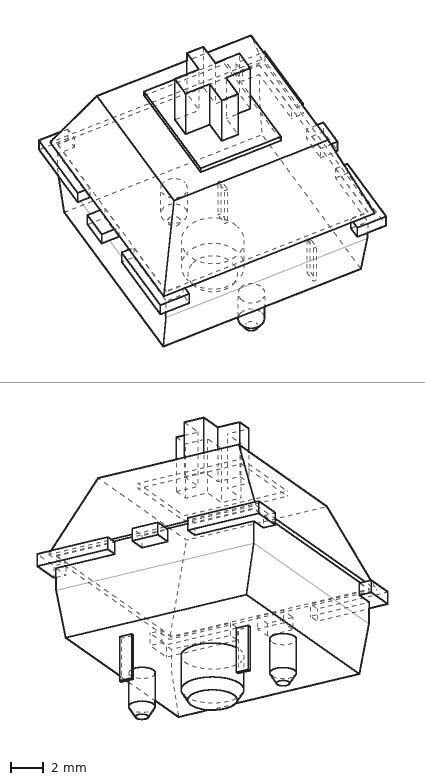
import cadquery as cq


tip_chamfer_top = 0.68
base_bottom = 2.95
base_taper_top = 6.21
tab_bottom = 7.68
tab_top = 8.5
cover_bottom = 8.55
cover_top = 13.89
plate_top = 14.23
stem_top = 17.85

base_bottom_size = (12.76, 13.69)
base_size = (13.95, 13.95)
cover_bottom_size = (14.62, 14.62)
cover_top_size = (9.92, 10.67)
plate_size = (7.28, 5.57)

stem_span = 4.48
stem_x_arm_width = 1.12
stem_y_arm_width = 1.4

corner_tab_span = 15.64
corner_tab_x_length = 5.0
corner_tab_y_length = 2.0
middle_tab_span = 16.33
middle_tab_width = 1.82

center_post_diameter = 3.84
side_post_diameter = 1.62
side_post_offset = 4.98
tip_inset = 0.41

lead_width = 0.84
lead_thickness = 0.21
lead_centers = [(-3.77, 2.73), (3.03, 5.21)]


def block(size, bottom, top, center=(0, 0)):
    """Upright rectangular block between two levels."""
    return cq.Workplane("XY", origin=(*center, bottom)).rect(*size).extrude(top - bottom)


def tapered_block(bottom_size, top_size, bottom, top):
    """Block whose rectangular section changes linearly between two levels."""
    lower = cq.Workplane("XY", origin=(0, 0, bottom)).rect(*bottom_size)
    return lower.workplane(offset=top - bottom).rect(*top_size).loft(ruled=True, combine=True)


def locating_post(x, diameter):
    """Round post on the X axis with a conical tip."""
    radius = diameter / 2
    tip_radius = radius - tip_inset
    profile = [
        (0, 0),
        (tip_radius, 0),
        (radius, tip_chamfer_top),
        (radius, base_bottom),
        (0, base_bottom),
    ]
    post = cq.Workplane("XZ").polyline(profile).close().revolve(360, (0, 0), (0, 1))
    return post.translate((x, 0, 0))


result = tapered_block(base_bottom_size, base_size, base_bottom, base_taper_top)
result = result.union(block(base_size, base_taper_top, cover_bottom))
result = result.union(tapered_block(cover_bottom_size, cover_top_size, cover_bottom, cover_top))

result = result.union(block(plate_size, cover_top, plate_top))
result = result.union(block((stem_span, stem_x_arm_width), plate_top, stem_top))
result = result.union(block((stem_y_arm_width, stem_span), plate_top, stem_top))

corner_tab_size = (corner_tab_x_length, corner_tab_y_length)
corner_tab_x = (corner_tab_span - corner_tab_x_length) / 2
corner_tab_y = (corner_tab_span - corner_tab_y_length) / 2
for x_side in (-1, 1):
    for y_side in (-1, 1):
        tab_center = (x_side * corner_tab_x, y_side * corner_tab_y)
        result = result.union(block(corner_tab_size, tab_bottom, tab_top, tab_center))

result = result.union(block((middle_tab_width, middle_tab_span), tab_bottom, tab_top))

result = result.union(locating_post(0, center_post_diameter))
for side in (-1, 1):
    result = result.union(locating_post(side * side_post_offset, side_post_diameter))

for lead_center in lead_centers:
    result = result.union(block((lead_width, lead_thickness), 0, base_bottom, lead_center))